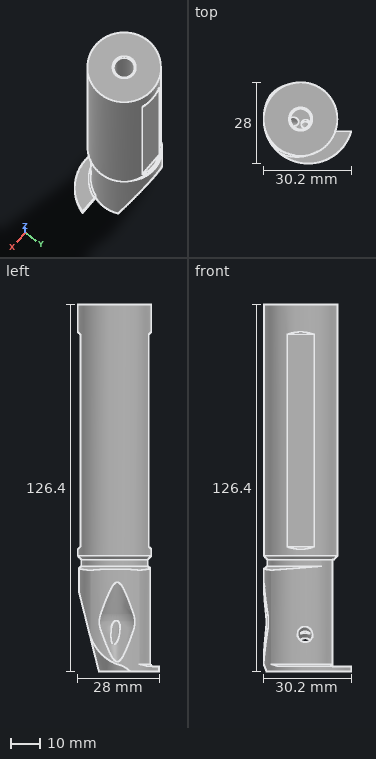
import cadquery as cq
import math

total_length = 126.4
shank_radius = 25.4 / 2
shank_bottom = 39.8
flat_distance = 23.6 / 2
flat_bottom, flat_top = 43.0, 116.0
flat_runout = shank_radius - flat_distance

neck_radius = 11.5
neck_top = 38.5
neck_bottom = 36.3
shoulder_bottom = 34.4
shoulder_radius = 13.9

body_center = (-1.3, 0.0)
body_radius = 24.7 / 2
lip_center = (2.7, 0.06)
lip_radius = 15.4
lip_thickness = 1.8
lip_edge_y = -4.2
flare = 0.8

relief_back_y = 5.4
relief_left_x = -11.8
relief_corner_radius = 7.6
relief_slope_y = 0.25
relief_slope_x = 0.4
relief_height = 37.9

pocket_axis_x, pocket_y = -15.9, -1.1
pocket_radius = 7.6
pocket_mid_z = 17.1
pocket_half_height = 13.8
pocket_bend_half_height = 2.8

bore_radius = 3.5
bore_chamfer = 0.5
bore_bottom = 22.8
cross_radius = 5.2 / 2
cross_x, cross_z = 1.5, 12.9
cross_slope = 0.2
passage_radius = 1.5
passage_top = bore_bottom + 1.3
pocket_passage_ends = ((-1.1, -1.0, passage_top + 0.6), (-12.6, 0.0, 9.4))
cross_passage_ends = ((1.8, -1.6, passage_top), (cross_x, -2.5, 10.7))

clearance = 25.3


def cylinder(center, radius, bottom, top):
    return cq.Workplane("XY", origin=(*center, bottom)).circle(radius).extrude(top - bottom)


def cone(center, bottom_radius, top_radius, bottom, top):
    solid = cq.Solid.makeCone(bottom_radius, top_radius, top - bottom, cq.Vector(*center, bottom))
    return cq.Workplane(obj=solid)


def rod(start, end, radius):
    direction = cq.Vector(*end) - cq.Vector(*start)
    solid = cq.Solid.makeCylinder(radius, direction.Length, cq.Vector(*start), direction)
    return cq.Workplane(obj=solid)


def front_half(bottom, top):
    """Block covering everything in front of the straight lip edge."""
    box = cq.Workplane("XY").box(4 * clearance, 2 * clearance, top - bottom, centered=(True, False, False))
    return box.translate((0, lip_edge_y - 2 * clearance, bottom))


def flat_cutter(side):
    """Cutter for one shank flat, with 45 degree run-outs at both ends."""
    overreach = 2 * flat_runout
    outer = flat_distance + overreach
    profile = [
        (side * flat_distance, flat_bottom),
        (side * flat_distance, flat_top),
        (side * outer, flat_top + overreach),
        (side * outer, flat_bottom - overreach),
    ]
    return cq.Workplane("YZ").polyline(profile).close().extrude(shank_radius, both=True)


def make_shank():
    shank = cylinder((0, 0), shank_radius, shank_bottom, total_length)
    for side in (-1, 1):
        shank = shank.cut(flat_cutter(side))
    return shank


def make_neck():
    body = cylinder(body_center, body_radius, shoulder_bottom, neck_top)
    neck = cylinder((0, 0), neck_radius, shoulder_bottom, neck_top).intersect(body)
    return neck.union(cone((0, 0), neck_radius, shank_radius, neck_top, shank_bottom))


def relief_section(height):
    """Outline of the relieved head at a height: left side, rounded corner, back side."""
    left = relief_left_x - relief_slope_x * height
    back = relief_back_y + relief_slope_y * height
    diagonal = relief_corner_radius * (1 - math.sqrt(0.5))
    return (
        cq.Workplane("XY", origin=(0, 0, height))
        .moveTo(left, -clearance)
        .lineTo(left, back - relief_corner_radius)
        .threePointArc((left + diagonal, back - diagonal), (left + relief_corner_radius, back))
        .lineTo(clearance, back)
        .lineTo(clearance, -clearance)
        .close()
        .wires()
        .val()
    )


def make_head():
    lip_column = cylinder(lip_center, lip_radius, 0, neck_bottom)
    body = cylinder(body_center, body_radius, 0, neck_bottom).intersect(lip_column)
    shoulder = cylinder((0, 0), shoulder_radius, 0, shoulder_bottom).union(
        cone((0, 0), shoulder_radius, neck_radius, shoulder_bottom, neck_bottom)
    )
    body = body.intersect(shoulder)
    lip = cylinder(lip_center, lip_radius, 0, lip_thickness)
    lip = lip.intersect(front_half(0, lip_thickness))
    flare_top = lip_thickness + flare
    root = cone(body_center, body_radius + flare, body_radius, lip_thickness, flare_top)
    root = root.intersect(front_half(lip_thickness, flare_top)).intersect(lip_column)
    relief = cq.Solid.makeLoft([relief_section(0), relief_section(relief_height)], True)
    return body.union(lip).union(root).intersect(cq.Workplane(obj=relief))


def make_pocket():
    """Two opposed cones blended by a rounded waist."""
    mouth_radius = lip_center[0] - lip_radius - pocket_axis_x
    slope = (pocket_radius - mouth_radius) / (pocket_half_height - pocket_bend_half_height / 2)
    bend_drop = slope * pocket_bend_half_height / 2
    bend_radius = pocket_radius - bend_drop
    tip_height = pocket_bend_half_height + bend_radius / slope
    spindle = (
        cq.Workplane("XZ", origin=(pocket_axis_x, pocket_y, pocket_mid_z))
        .moveTo(0, -tip_height)
        .lineTo(bend_radius, -pocket_bend_half_height)
        .threePointArc((pocket_radius, 0), (bend_radius, pocket_bend_half_height))
        .lineTo(0, tip_height)
        .close()
    )
    return spindle.revolve(360, (0, 0, 0), (0, 1, 0))


def make_bore():
    bore = cylinder((0, 0), bore_radius, bore_bottom, total_length)
    mouth_bottom = total_length - bore_chamfer
    return bore.union(cone((0, 0), bore_radius, bore_radius + bore_chamfer, mouth_bottom, total_length))


def make_cross_hole():
    """Hole from the front of the body, falling gently to the sloping back face."""
    front_y = body_center[1] - body_radius
    start = (cross_x, front_y - clearance, cross_z + cross_slope * clearance)
    end = (cross_x, front_y + 2 * clearance, cross_z - 2 * cross_slope * clearance)
    return rod(start, end, cross_radius)


def make_passages():
    to_pocket = rod(*pocket_passage_ends, passage_radius)
    to_cross_hole = rod(*cross_passage_ends, passage_radius)
    return to_pocket.union(to_cross_hole)


result = make_shank().union(make_neck()).union(make_head())
for cutter in (make_pocket(), make_bore(), make_cross_hole(), make_passages()):
    result = result.cut(cutter)